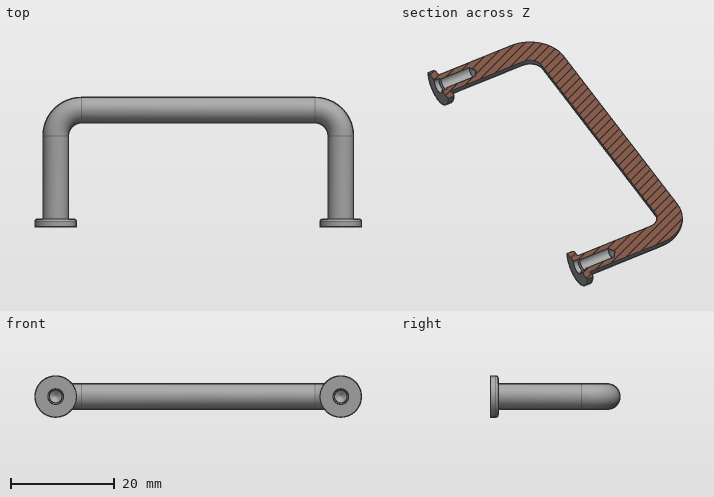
import cadquery as cq
import math

overall_length = 63.0
overall_depth = 25.0
rod_diameter = 5.0
bend_radius = 5.0
flange_diameter = 8.0
flange_thickness = 1.5
flange_fillet = 0.5
clearance_diameter = 3.0
clearance_depth = 1.0
tapping_diameter = 2.45
hole_depth = 7.55
drill_point_angle = 118.0

leg_x = (overall_length - flange_diameter) / 2
bar_y = overall_depth - rod_diameter / 2
bend_start_y = bar_y - bend_radius
bend_end_x = leg_x - bend_radius
bend_mid_offset = bend_radius * math.sin(math.radians(45))
bend_mid_x = bend_end_x + bend_mid_offset
bend_mid_y = bend_start_y + bend_mid_offset
entry_chamfer_end = clearance_depth + (clearance_diameter - tapping_diameter) / 2
point_length = tapping_diameter / 2 / math.tan(math.radians(drill_point_angle / 2))


def make_handle_rod():
    """U-shaped round rod with both legs starting on the mounting face."""
    centreline = (
        cq.Workplane("XY")
        .moveTo(-leg_x, 0)
        .lineTo(-leg_x, bend_start_y)
        .threePointArc((-bend_mid_x, bend_mid_y), (-bend_end_x, bar_y))
        .lineTo(bend_end_x, bar_y)
        .threePointArc((bend_mid_x, bend_mid_y), (leg_x, bend_start_y))
        .lineTo(leg_x, 0)
    )
    return cq.Workplane("XZ", origin=(-leg_x, 0, 0)).circle(rod_diameter / 2).sweep(centreline)


def make_flange(x):
    """Round foot with a filleted edge on the leg side."""
    return (
        cq.Workplane("XZ", origin=(x, 0, 0))
        .circle(flange_diameter / 2)
        .extrude(-flange_thickness)
        .faces(">Y")
        .edges()
        .fillet(flange_fillet)
    )


def make_screw_hole(x):
    """Short clearance bore, a 45 degree cone, then a blind hole with a drill point."""
    profile = (
        cq.Workplane("XY", origin=(x, 0, 0))
        .lineTo(clearance_diameter / 2, 0)
        .lineTo(clearance_diameter / 2, clearance_depth)
        .lineTo(tapping_diameter / 2, entry_chamfer_end)
        .lineTo(tapping_diameter / 2, hole_depth)
        .lineTo(0, hole_depth + point_length)
        .close()
    )
    return profile.revolve(360, (0, 0, 0), (0, 1, 0))


result = make_handle_rod()
for foot_x in (-leg_x, leg_x):
    result = result.union(make_flange(foot_x))
for foot_x in (-leg_x, leg_x):
    result = result.cut(make_screw_hole(foot_x))